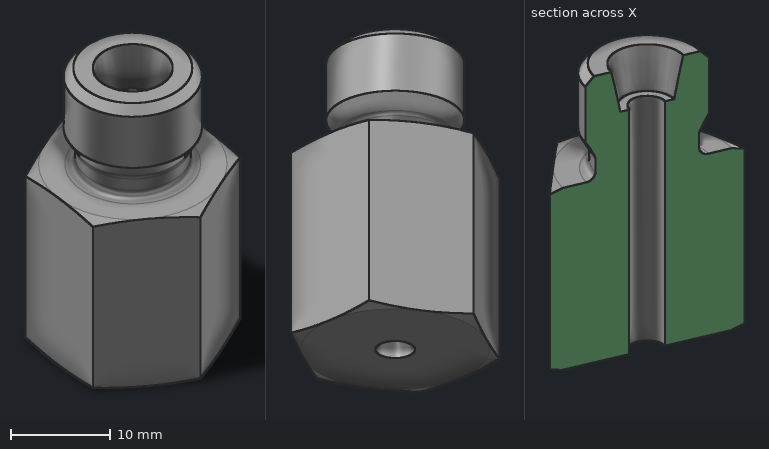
import cadquery as cq
import math

length = 33.0
across_flats = 19.0
across_corners = across_flats / math.cos(math.pi / 6)
hex_height = 21.0
corner_chamfer_angle = math.radians(15)

stud_diameter = 14.0
tip_chamfer = 1.0
groove_diameter = 11.7
groove_taper_top = 25.6
groove_taper_angle = math.radians(30)
groove_fillet = 1.0

bore_diameter = 4.0
cone_mouth_diameter = 8.05
cone_floor_diameter = 6.0
cone_half_angle = math.radians(12)


def hex_body():
    """Upright hexagon with both ends turned down at the corners."""
    prism = (
        cq.Workplane("XY")
        .polygon(6, across_corners)
        .extrude(hex_height)
        .rotate((0, 0, 0), (0, 0, 1), 30)
    )
    flat_radius = across_flats / 2
    corner_radius = across_corners / 2
    drop = (corner_radius - flat_radius) * math.tan(corner_chamfer_angle)
    envelope = (
        cq.Workplane("XZ")
        .polyline([
            (0, 0),
            (flat_radius, 0),
            (corner_radius, drop),
            (corner_radius, hex_height - drop),
            (flat_radius, hex_height),
            (0, hex_height),
        ])
        .close()
        .revolve(360, (0, 0, 0), (0, 1, 0))
    )
    return prism.intersect(envelope)


def stud():
    """Turned stud: filleted groove, taper, thread cylinder and tip chamfer."""
    stud_radius = stud_diameter / 2
    groove_radius = groove_diameter / 2
    taper_height = (stud_radius - groove_radius) / math.tan(groove_taper_angle)
    fillet_offset = groove_fillet * (1 - math.sqrt(0.5))
    taper_foot = groove_taper_top - taper_height
    upper_fillet_start = taper_foot - groove_fillet * math.tan(groove_taper_angle / 2)

    def upper_fillet_point(angle):
        return (
            groove_radius + groove_fillet * (1 - math.cos(angle)),
            upper_fillet_start + groove_fillet * math.sin(angle),
        )

    return (
        cq.Workplane("XZ")
        .moveTo(0, hex_height)
        .lineTo(groove_radius + groove_fillet, hex_height)
        .threePointArc(
            (groove_radius + fillet_offset, hex_height + fillet_offset),
            (groove_radius, hex_height + groove_fillet),
        )
        .lineTo(groove_radius, upper_fillet_start)
        .threePointArc(
            upper_fillet_point(groove_taper_angle / 2),
            upper_fillet_point(groove_taper_angle),
        )
        .lineTo(stud_radius, groove_taper_top)
        .lineTo(stud_radius, length - tip_chamfer)
        .lineTo(stud_radius - tip_chamfer, length)
        .lineTo(0, length)
        .close()
        .revolve(360, (0, 0, 0), (0, 1, 0))
    )


def bore():
    """Through hole opening into a conical seat at the stud end."""
    bore_radius = bore_diameter / 2
    mouth_radius = cone_mouth_diameter / 2
    floor_radius = cone_floor_diameter / 2
    cone_depth = (mouth_radius - floor_radius) / math.tan(cone_half_angle)
    return (
        cq.Workplane("XZ")
        .polyline([
            (0, 0),
            (bore_radius, 0),
            (bore_radius, length - cone_depth),
            (floor_radius, length - cone_depth),
            (mouth_radius, length),
            (0, length),
        ])
        .close()
        .revolve(360, (0, 0, 0), (0, 1, 0))
    )


result = hex_body().union(stud()).cut(bore())